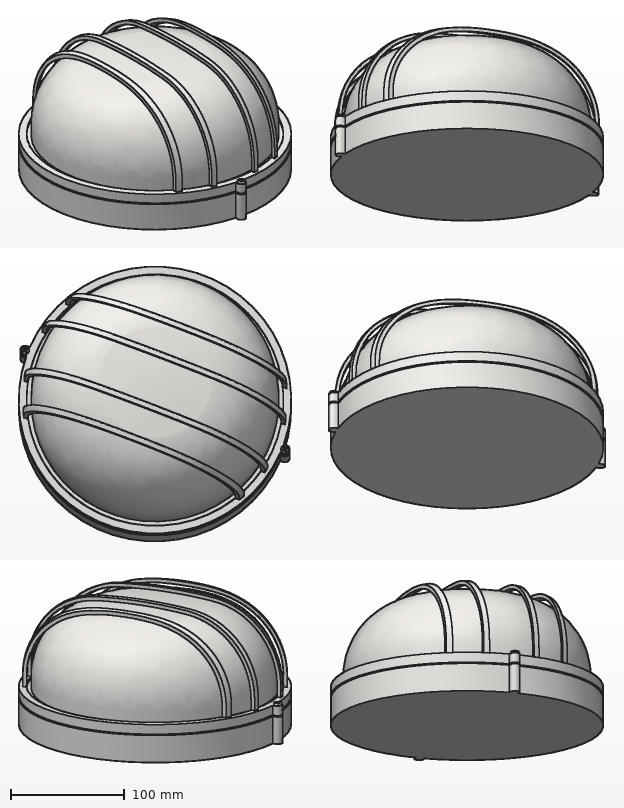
import cadquery as cq
import math

housing_radius = 120.0
housing_height = 35.0
groove_bottom = 25.0
groove_height = 1.0
groove_depth = 0.5
recess_radius = 113.0
recess_depth = 2.0
recess_floor = housing_height - recess_depth

crown_radius = 500.0
glass_radius = 109.0
glass_apex = 113.0
skirt_top = 45.0
guard_thickness = 3.5
guard_radius = recess_radius + guard_thickness
guard_apex = 120.0
bar_width = 5.0
bar_offsets = (23.35, 54.2)

boss_reach = 127.0
boss_radius = 4.25
boss_center = boss_reach - boss_radius
head_radius = 3.6
head_height = 2.2
head_round = 1.3
cross_length = 4.0
cross_width = 1.2
cross_depth = 1.0


def shoulder_radius(radius, apex):
    """Radius of the arc tangent to both the vertical skirt and the crown."""
    drop = crown_radius - apex + skirt_top
    return (crown_radius + radius - drop**2 / (crown_radius - radius)) / 2


def domed_solid(radius, apex, shoulder, crown, base):
    """Solid of revolution: straight skirt, tangent shoulder arc, spherical crown."""
    shoulder_x = radius - shoulder
    crown_z = apex - crown
    tilt = math.asin(shoulder_x / (crown - shoulder))
    middle_tilt = (tilt + math.pi / 2) / 2
    shoulder_middle = (
        shoulder_x + shoulder * math.sin(middle_tilt),
        skirt_top + shoulder * math.cos(middle_tilt),
    )
    crown_edge = (crown * math.sin(tilt), crown_z + crown * math.cos(tilt))
    crown_middle = (crown * math.sin(tilt / 2), crown_z + crown * math.cos(tilt / 2))
    return (
        cq.Workplane("XZ")
        .moveTo(0, base)
        .lineTo(radius, base)
        .lineTo(radius, skirt_top)
        .threePointArc(shoulder_middle, crown_edge)
        .threePointArc(crown_middle, (0, apex))
        .close()
        .revolve(360, (0, 0, 0), (0, 1, 0))
    )


def housing_outline(inset):
    """Housing plan, a disc with a rounded boss on each X side, moved inward by inset."""
    outline = cq.Workplane("XY").circle(housing_radius - inset).extrude(housing_height)
    bosses = (
        cq.Workplane("XY")
        .slot2D(2 * (boss_reach - inset), 2 * (boss_radius - inset))
        .extrude(housing_height)
    )
    return outline.union(bosses)


def make_housing():
    band = (
        cq.Workplane("XY")
        .workplane(offset=groove_bottom)
        .circle(boss_reach + boss_radius)
        .extrude(groove_height)
    )
    groove = band.cut(housing_outline(groove_depth))
    recess = (
        cq.Workplane("XY")
        .workplane(offset=recess_floor)
        .circle(recess_radius)
        .extrude(recess_depth)
    )
    return housing_outline(0).cut(groove).cut(recess)


def make_glass():
    shoulder = shoulder_radius(glass_radius, glass_apex)
    return domed_solid(glass_radius, glass_apex, shoulder, crown_radius, recess_floor)


def make_guard():
    """Four parallel bars sliced out of one domed shell."""
    shoulder = shoulder_radius(guard_radius, guard_apex)
    outside = domed_solid(guard_radius, guard_apex, shoulder, crown_radius, housing_height)
    inside = domed_solid(
        guard_radius - guard_thickness,
        guard_apex - guard_thickness,
        shoulder - guard_thickness,
        crown_radius - guard_thickness,
        housing_height,
    )
    slices = (
        cq.Workplane("XY")
        .pushPoints([(0, side * offset) for side in (-1, 1) for offset in bar_offsets])
        .rect(2 * guard_radius, bar_width)
        .extrude(guard_apex)
    )
    return outside.cut(inside).intersect(slices)


def make_screw_head(x):
    """Rounded screw head with a cross recess turned 45 degrees."""
    head_top = housing_height + head_height
    head = (
        cq.Workplane("XY")
        .workplane(offset=housing_height)
        .center(x, 0)
        .circle(head_radius)
        .extrude(head_height)
        .faces(">Z")
        .edges()
        .fillet(head_round)
    )
    for angle in (-45, 45):
        slot = (
            cq.Workplane("XY")
            .workplane(offset=head_top - cross_depth)
            .center(x, 0)
            .transformed(rotate=(0, 0, angle))
            .rect(cross_length, cross_width)
            .extrude(cross_depth)
        )
        head = head.cut(slot)
    return head


result = make_housing().union(make_glass()).union(make_guard())
for side in (-1, 1):
    result = result.union(make_screw_head(side * boss_center))